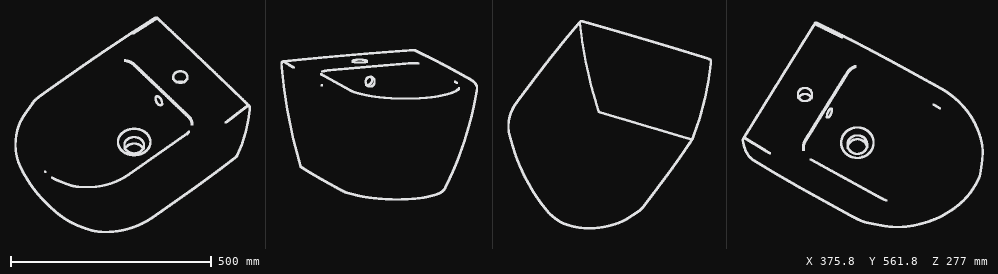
import cadquery as cq
import math

length = 562.0
width = 376.0
height = 277.0
crown_height = 1.5
rim_z = height - crown_height

nose_overrun = 1.95
side_overrun = 0.5

shell_sections = [
    (0.0, 134.0, 441.0),
    (rim_z / 2, 169.0, 516.0),
    (rim_z, width / 2 + side_overrun, length + nose_overrun),
]
back_width_ratio = 0.966
widest_ratio = 0.4
nose_ratio = 0.37
nose_steps = 6
rim_round = 7.0
foot_round = 4.5

crown_radius = 194.5
tap_y = -74.0
tap_diameter = 35.5
tap_depth = 45.0

drain_y = -226.0
drain_ring_radius = 40.5
drain_ring_z = 135.0
ring_corner = drain_ring_radius - 0.5
bowl_sections = [
    (rim_z, 141.0, -137.5, -517.5, 36.5, 152.0),
    (225.0, 123.0, -148.0, -477.5, 45.0, 146.0),
    (185.5, 98.0, -158.0, -416.0, 50.5, 123.5),
    (drain_ring_z, drain_ring_radius, drain_y + drain_ring_radius,
     drain_y - drain_ring_radius, ring_corner, ring_corner),
]
bowl_lip_round = 3.0
rim_inset = 33.5
lip_search_y = -112.5
lip_search_margin = 0.5

drain_radius = 25.0
drain_cone_depth = 14.0
drain_depth = 28.0
overflow_diameter = 24.0
overflow_z = 239.0
overflow_depth = 17.0
overflow_wall_y = -144.5


def nose_points(half_width, start_y, nose_length, first_angle, last_angle):
    """Points on a quarter of the front ellipse; angles are turned clockwise from +X."""
    points = []
    for i in range(1, nose_steps + 1):
        angle = math.radians(first_angle + (last_angle - first_angle) * i / nose_steps)
        points.append((half_width * math.cos(angle), start_y - nose_length * math.sin(angle)))
    return points


def add_nose(profile, half_width, start_y, nose_length):
    """Continue a profile round the elliptical front, from the right side to the left."""
    right_half = nose_points(half_width, start_y, nose_length, 0, 90)
    left_half = nose_points(half_width, start_y, nose_length, 90, 180)
    profile = profile.spline(right_half, tangents=[(0, -1), (-1, 0)], includeCurrent=True)
    return profile.spline(left_half, tangents=[(-1, 0), (0, 1)], includeCurrent=True)


def shell_outline(z, half_width, section_length):
    """D-shaped outline with a straight back and gently bowed sides."""
    back_half = half_width * back_width_ratio
    widest_y = -section_length * widest_ratio
    nose_length = section_length * nose_ratio
    nose_y = nose_length - section_length
    bow = [(half_width, widest_y), (half_width, nose_y)]
    bow_mirrored = [(-half_width, widest_y), (-back_half, 0)]
    side_lean = (half_width - back_half) * 2 / -widest_y
    profile = cq.Workplane("XY", origin=(0, 0, z)).moveTo(-back_half, 0).lineTo(back_half, 0)
    profile = profile.spline(bow, tangents=[(side_lean, -1), (0, -1)], includeCurrent=True)
    profile = add_nose(profile, half_width, nose_y, nose_length)
    profile = profile.spline(bow_mirrored, tangents=[(0, 1), (side_lean, 1)], includeCurrent=True)
    return profile.wire().val()


def bowl_outline(z, half_width, back_y, front_y, corner, nose_length):
    """Rounded outline with a flat back, straight sides and an elliptical front."""
    nose_y = front_y + nose_length
    side_y = back_y - corner
    flat_half = half_width - corner
    diagonal = corner * math.sqrt(0.5)
    arc_x = flat_half + diagonal
    arc_y = side_y + diagonal
    profile = cq.Workplane("XY", origin=(0, 0, z)).moveTo(-flat_half, back_y)
    profile = profile.lineTo(flat_half, back_y)
    profile = profile.threePointArc((arc_x, arc_y), (half_width, side_y)).lineTo(half_width, nose_y)
    profile = add_nose(profile, half_width, nose_y, nose_length).lineTo(-half_width, side_y)
    return profile.threePointArc((-arc_x, arc_y), (-flat_half, back_y)).wire().val()


def make_shell():
    """Outer body with a rounded rim and foot; the wall face stays sharp."""
    shell = cq.Workplane(cq.Solid.makeLoft([shell_outline(*section) for section in shell_sections]))
    shell = shell.faces(">Z").edges("not >Y").fillet(rim_round)
    return shell.faces("<Z").edges("not >Y").fillet(foot_round)


def make_deck_crown():
    """Very shallow spherical dome, trimmed to the flat part of the rim."""
    sphere_radius = (crown_radius**2 + crown_height**2) / (2 * crown_height)
    dome = (
        cq.Workplane("XZ")
        .moveTo(0, rim_z)
        .lineTo(crown_radius, rim_z)
        .radiusArc((0, height), -sphere_radius)
        .close()
        .revolve(360, (0, 0, 0), (0, 1, 0))
    )
    flat_half = width / 2 + side_overrun - rim_round
    flat_length = length + nose_overrun - rim_round
    flat_outline = shell_outline(rim_z, flat_half, flat_length)
    flat_area = cq.Solid.extrudeLinear(flat_outline, [], cq.Vector(0, 0, crown_height))
    return dome.intersect(cq.Workplane(flat_area))


def make_bowl():
    """Bowl space below the rim, and the opening above it through the deck crown."""
    bowl = cq.Workplane(cq.Solid.makeLoft([bowl_outline(*section) for section in bowl_sections]))
    opening = cq.Solid.extrudeLinear(bowl_outline(*bowl_sections[0]), [], cq.Vector(0, 0, crown_height))
    return bowl, cq.Workplane(opening)


def make_drain():
    """Conical seat leading to a blind round outlet."""
    outlet_z = drain_ring_z - drain_cone_depth
    bottom_z = outlet_z - drain_depth
    half_section = [
        (0, bottom_z),
        (drain_radius, bottom_z),
        (drain_radius, outlet_z),
        (drain_ring_radius, drain_ring_z),
        (0, drain_ring_z),
    ]
    drain = cq.Workplane("XZ").polyline(half_section).close().revolve(360, (0, 0, 0), (0, 1, 0))
    return drain.translate((0, drain_y, 0))


def make_tap_hole():
    """Blind tap hole in the deck."""
    return cq.Workplane("XY", origin=(0, tap_y, height)).circle(tap_diameter / 2).extrude(-tap_depth)


def make_overflow():
    """Blind overflow hole in the back wall of the bowl."""
    front_y = overflow_wall_y - overflow_depth
    plane = cq.Workplane("XZ", origin=(0, front_y, overflow_z))
    return plane.circle(overflow_diameter / 2).extrude(-2 * overflow_depth)


bowl, bowl_opening = make_bowl()
body = make_shell().cut(bowl)
lip = cq.selectors.BoxSelector(
    (rim_inset - width / 2, rim_inset - length, rim_z - lip_search_margin),
    (width / 2 - rim_inset, lip_search_y, rim_z + lip_search_margin),
)
body = body.edges(lip).fillet(bowl_lip_round)
body = body.union(make_deck_crown().cut(bowl_opening))
result = body.cut(make_drain()).cut(make_tap_hole()).cut(make_overflow())